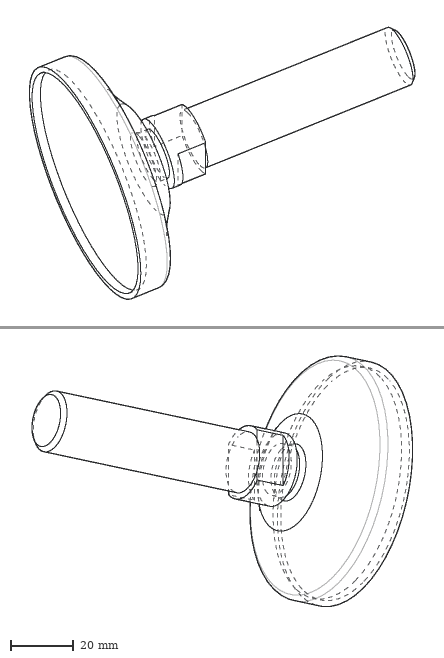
import cadquery as cq
import math

total_length = 114.0
foot_diameter = 80.0
shaft_diameter = 20.0
collar_diameter = 24.0
neck_diameter = 17.0
recess_diameter = 76.0

rim_height = 9.5
shoulder_height = 11.4
foot_height = 21.0
flare_end = 22.8
collar_start = 26.0
flats_start = 29.1
collar_end = 39.0

shoulder_radius = 38.3
crown_radius = 19.2
crown_sag = 1.1
flare_base_radius = 9.3
recess_depth = 3.0

shaft_chamfer = 1.5
flats_width = neck_diameter

foot_radius = foot_diameter / 2
neck_radius = neck_diameter / 2
collar_radius = collar_diameter / 2
shaft_radius = shaft_diameter / 2
recess_radius = recess_diameter / 2


def arc_middle(start, end, sag):
    """Middle point of an arc that bows to the left of the direction start to end."""
    run = end[0] - start[0]
    rise = end[1] - start[1]
    chord = math.hypot(run, rise)
    return (
        (start[0] + end[0]) / 2 - sag * rise / chord,
        (start[1] + end[1]) / 2 + sag * run / chord,
    )


def make_body():
    """Foot, neck, collar and shaft revolved from one half profile (radius, Y)."""
    shoulder = (shoulder_radius, shoulder_height)
    crown = (crown_radius, foot_height)
    profile = (
        cq.Workplane("XY")
        .moveTo(0, recess_depth)
        .lineTo(recess_radius, recess_depth)
        .lineTo(recess_radius, 0)
        .lineTo(foot_radius, 0)
        .lineTo(foot_radius, rim_height)
        .tangentArcPoint(shoulder, relative=False)
        .threePointArc(arc_middle(shoulder, crown, crown_sag), crown)
        .lineTo(flare_base_radius, foot_height)
        .lineTo(neck_radius, flare_end)
        .lineTo(neck_radius, collar_start)
        .lineTo(collar_radius, collar_start)
        .lineTo(collar_radius, collar_end)
        .lineTo(shaft_radius, collar_end)
        .lineTo(shaft_radius, total_length - shaft_chamfer)
        .lineTo(shaft_radius - shaft_chamfer, total_length)
        .lineTo(0, total_length)
        .close()
    )
    return profile.revolve(360, (0, 0, 0), (0, 1, 0))


def cut_wrench_flats(body):
    """Two parallel flats on the +X and -X sides of the collar."""
    flats_length = collar_end - flats_start
    for side in (-1, 1):
        center_x = side * (flats_width + collar_radius) / 2
        center_y = (flats_start + collar_end) / 2
        cutter = cq.Workplane("XY").box(collar_radius, flats_length, collar_diameter)
        cutter = cutter.translate((center_x, center_y, 0))
        body = body.cut(cutter)
    return body


result = cut_wrench_flats(make_body())